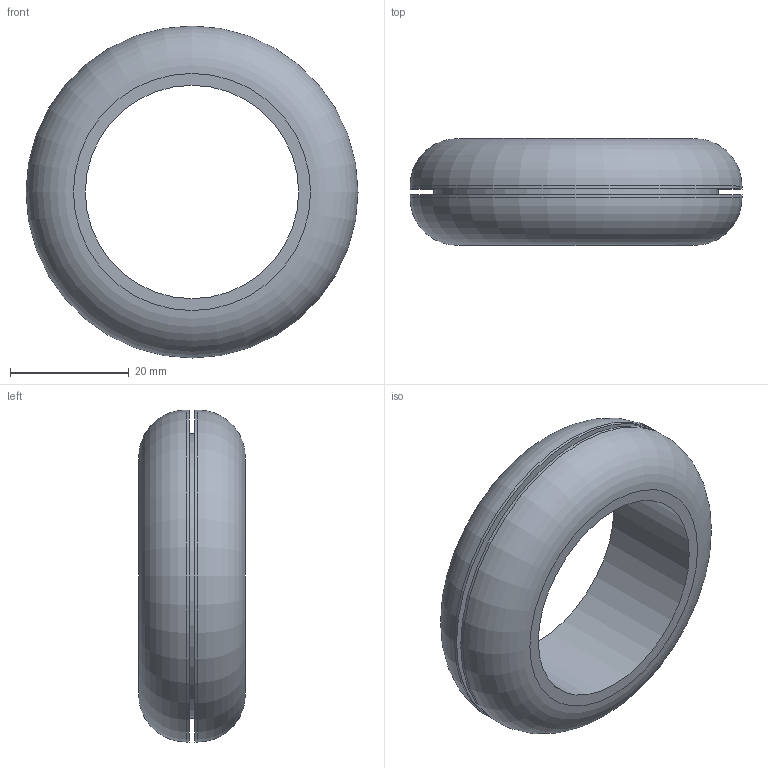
import cadquery as cq

outer_diameter = 56.0
bore_diameter = 36.0
width = 18.0
shoulder_radius = 8.0

groove_width = 1.0
groove_diameter = 48.0

outer_radius = outer_diameter / 2
bore_radius = bore_diameter / 2
groove_radius = groove_diameter / 2
half_width = width / 2
half_groove = groove_width / 2


def make_body():
    """Ring with both outer rims rounded, revolved about the Y axis."""
    section = (
        cq.Workplane("YZ")
        .moveTo(-half_width, bore_radius)
        .lineTo(half_width, bore_radius)
        .lineTo(half_width, outer_radius - shoulder_radius)
        .radiusArc((half_width - shoulder_radius, outer_radius), -shoulder_radius)
        .lineTo(shoulder_radius - half_width, outer_radius)
        .radiusArc((-half_width, outer_radius - shoulder_radius), -shoulder_radius)
        .close()
    )
    return section.revolve(360, (0, 0), (1, 0))


def make_groove():
    """Annular cutter for the panel groove."""
    section = (
        cq.Workplane("YZ")
        .moveTo(-half_groove, groove_radius)
        .lineTo(half_groove, groove_radius)
        .lineTo(half_groove, outer_radius)
        .lineTo(-half_groove, outer_radius)
        .close()
    )
    return section.revolve(360, (0, 0), (1, 0))


result = make_body().cut(make_groove())